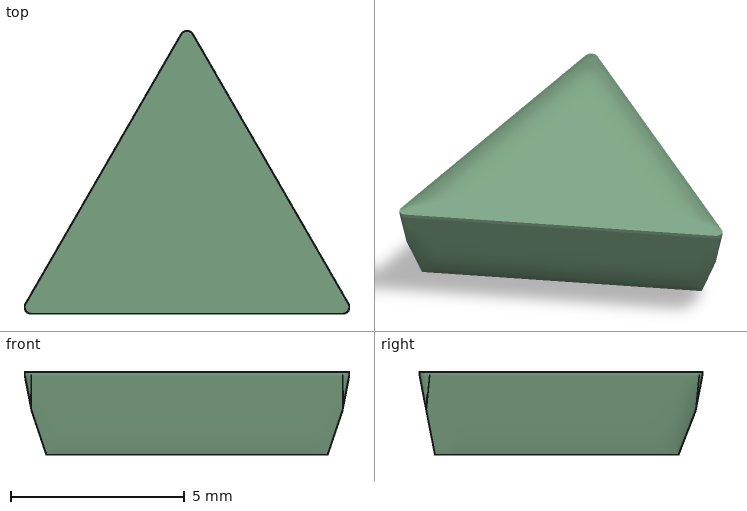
import cadquery as cq
import math

width = 9.35
thickness = 2.38
land_height = 0.1
corner_radius = 0.2
relief_angle = 11.0

relief_slope = math.tan(math.radians(relief_angle))
land_bottom = thickness - land_height
centre_inradius = (width - 2 * corner_radius) / (2 * math.sqrt(3))
top_inradius = centre_inradius + corner_radius
base_inradius = top_inradius - land_bottom * relief_slope
cone_tip = land_bottom - corner_radius / relief_slope
corner_angles = (90, 210, 330)


def triangle_points(inradius):
    """Corners of an equilateral triangle with one corner toward +Y."""
    corner_distance = 2 * inradius
    angles = [math.radians(angle) for angle in corner_angles]
    return [(corner_distance * math.cos(a), corner_distance * math.sin(a)) for a in angles]


def sharp_body():
    """Relieved triangular body and its straight land, before corner rounding."""
    relieved = (
        cq.Workplane("XY")
        .polyline(triangle_points(base_inradius)).close()
        .workplane(offset=land_bottom)
        .polyline(triangle_points(top_inradius)).close()
        .loft(ruled=True)
    )
    land = (
        cq.Workplane("XY", origin=(0, 0, land_bottom))
        .polyline(triangle_points(top_inradius)).close()
        .extrude(land_height)
    )
    return relieved.union(land)


def corner_cutter(angle):
    """Material outside one corner: a cylinder at the land, then a cone down to its tip."""
    sector_angle = 120
    outer_radius = 3 * corner_radius
    profile = [
        (0, cone_tip),
        (corner_radius, land_bottom),
        (corner_radius, thickness),
        (outer_radius, thickness),
        (outer_radius, cone_tip),
    ]
    sector = (
        cq.Workplane("XZ")
        .polyline(profile).close()
        .revolve(sector_angle, (0, 0), (0, 1))
    )
    return (
        sector.rotate((0, 0, 0), (0, 0, 1), -sector_angle / 2)
        .translate((2 * centre_inradius, 0, 0))
        .rotate((0, 0, 0), (0, 0, 1), angle)
    )


result = sharp_body()
for corner_angle in corner_angles:
    result = result.cut(corner_cutter(corner_angle))